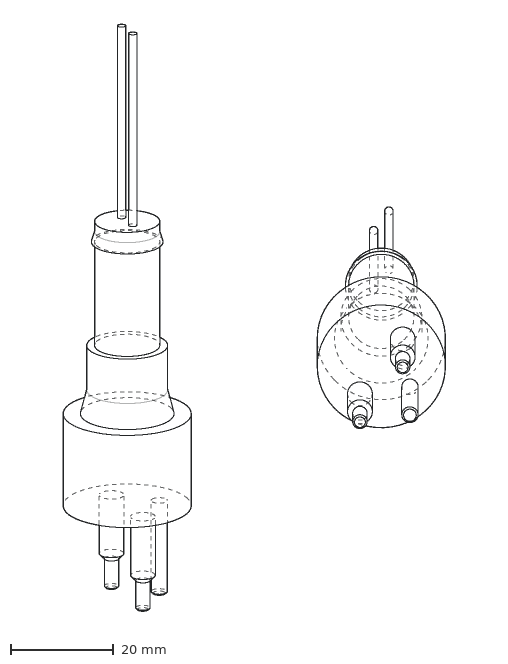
import cadquery as cq

total_height = 117.8
base_bottom = 19.2
base_top = 38.3
flare_top = 43.2
shoulder_top = 52.4
barb_bottom = 73.9
barb_top = 76.0
neck_top = 78.1

base_diameter = 25.0
flare_diameter = 18.3
shoulder_diameter = 15.8
neck_diameter = 12.7
barb_diameter = 14.0

wire_diameter = 1.6
wire_spacing = 5.0

pin_circle_radius = 7.0
sleeve_diameter = 4.8
sleeve_bottom = 7.1
stepped_tip_top = 6.0
stepped_tip_diameter = 2.8
plain_pin_diameter = 3.2
tip_chamfer = 0.4


def revolved(profile):
    """Revolve (radius, height) points, closed along the axis, about Z."""
    return cq.Workplane("XZ").polyline(profile).close().revolve(360, (0, 0, 0), (0, 1, 0))


def make_body():
    base_radius = base_diameter / 2
    shoulder_radius = shoulder_diameter / 2
    neck_radius = neck_diameter / 2
    return revolved([
        (0, base_bottom),
        (base_radius, base_bottom),
        (base_radius, base_top),
        (flare_diameter / 2, base_top),
        (shoulder_radius, flare_top),
        (shoulder_radius, shoulder_top),
        (neck_radius, shoulder_top),
        (neck_radius, barb_bottom),
        (barb_diameter / 2, barb_bottom),
        (neck_radius, barb_top),
        (neck_radius, neck_top),
        (0, neck_top),
    ])


def make_plain_pin():
    """Straight pin with a chamfered lower end."""
    pin = cq.Workplane("XY").circle(plain_pin_diameter / 2).extrude(base_bottom)
    return pin.faces("<Z").chamfer(tip_chamfer)


def make_stepped_pin():
    """Pin whose wide sleeve tapers to a thin chamfered tip."""
    tip_radius = stepped_tip_diameter / 2
    sleeve_radius = sleeve_diameter / 2
    return revolved([
        (0, 0),
        (tip_radius - tip_chamfer, 0),
        (tip_radius, tip_chamfer),
        (tip_radius, stepped_tip_top),
        (sleeve_radius, sleeve_bottom),
        (sleeve_radius, base_bottom),
        (0, base_bottom),
    ])


def make_wire():
    wire_base = cq.Workplane("XY").workplane(offset=neck_top)
    return wire_base.circle(wire_diameter / 2).extrude(total_height - neck_top)


result = make_body()
for side in (-1, 1):
    result = result.union(make_wire().translate((side * wire_spacing / 2, 0, 0)))
    result = result.union(make_stepped_pin().translate((side * pin_circle_radius, 0, 0)))
result = result.union(make_plain_pin().translate((0, pin_circle_radius, 0)))